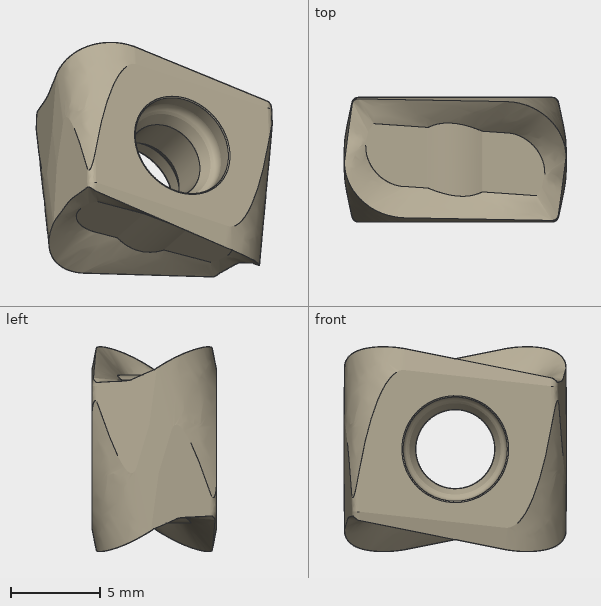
import cadquery as cq
import math


LENGTH = 12.48
THICKNESS = 7.0
HEIGHT = 11.5
HALF_LENGTH = LENGTH / 2
HALF_THICKNESS = THICKNESS / 2
HALF_HEIGHT = HEIGHT / 2
MARGIN = 3.75

FLANK_LEAN = 0.2
EDGE_X = -2.82
EDGE_Z = 4.42
EDGE_SLOPE = 0.022
END_TAPER = 0.028

END_REACH = 6.31
END_SLOPE = 0.14
NOSE_RADIUS = 0.4

CREST_ANGLE = 20.0
CREST_DROOP = 0.00023712
APEX_Z = 4.45
EDGE_FALL = 0.2

FLOOR_Z = 3.87
FLOOR_RADIUS = 2.31
FLOOR_ARC_X = -2.71
FLOOR_ARC_Y = 0.8
FLOOR_SIDE_SLOPE = -0.07
FLOOR_NOSE_X = 4.55
FLOOR_END = (4.87, -1.56)
OVERRUN = 1.25

FLOOR_ARC_ANGLES = (90, 60, 30, 0)
EDGE_ARC_ANGLES = (72, 54, 36)
FLOOR_SIDE_X = (FLOOR_ARC_X, -2.18, -1.66, -1.12)
EDGE_CREST_ANGLES = (36, 24, 12, 0)
NOSE_X = 5.43
END_EDGE = ((-3.25, 3.73), (-2.08, 3.8), (-1.41, 3.87), (-0.52, 4.24), (0.0, APEX_Z))

HUMP_HALF_WIDTH = 1.52
HUMP_RISE = 0.27
HUMP_FOOT_RADIUS = 0.17

RIM = (3.0, 0.0)
SEAT_TOP = (2.92, 0.05)
SEAT_BOTTOM = (2.92, 0.95)
SEAT_ROUND = (2.85, 1.2)
CONE_START = (2.68, 1.4)
CONE_TOP = (2.56, 1.54)
CONE_BOTTOM = (2.28, 2.05)
THROAT = (2.21, 2.2)

EDGE_V = -HALF_THICKNESS - FLANK_LEAN * EDGE_Z
EDGE_TILT = math.atan(EDGE_SLOPE)
END_TILT = math.atan(END_TAPER)
CORNER_RADIUS = ((HALF_LENGTH + EDGE_X) * math.cos(END_TILT) + EDGE_V * math.sin(END_TILT)) / (
    1 + math.sin(EDGE_TILT - END_TILT)
)
ARC_X = EDGE_X - CORNER_RADIUS * math.sin(EDGE_TILT)
ARC_V = EDGE_V + CORNER_RADIUS * math.cos(EDGE_TILT)


def half_turns(shape):
    """The shape and its copies turned half way round X, Y and Z."""
    copies = [shape]
    for axis in ((1, 0, 0), (0, 1, 0), (0, 0, 1)):
        copies.append(shape.rotate((0, 0, 0), axis, 180))
    return copies


def corner_point(angle):
    """Point of the flank profile on the corner arc, angle in degrees from the -Y side."""
    a = math.radians(angle)
    return ARC_X - CORNER_RADIUS * math.sin(a), ARC_V - CORNER_RADIUS * math.cos(a)


def leaning_prism(outline, lean):
    """Tall prism through a mid-height outline, shifting by lean for each unit of rise."""
    reach = HALF_HEIGHT + MARGIN
    rise = lean * reach
    return cq.Solid.extrudeLinear(outline.translate(-rise), [], rise * 2)


def round_nose(outline):
    """Round the corner of a mid-height outline that lies farthest towards +X and -Y."""
    nose = max(outline.Vertices(), key=lambda corner: corner.X - 2 * corner.Y)
    return outline.fillet2D(NOSE_RADIUS, [nose])


def flank_prism():
    """Prism bounded by the -Y flank, the (-X, -Y) corner arc, its end facet and the +X end plane."""
    arc_end_angle = 90 - math.degrees(END_TILT)
    far = HALF_LENGTH + MARGIN
    nose_v = (EDGE_V + EDGE_SLOPE * (END_REACH - EDGE_X)) / (1 - EDGE_SLOPE * END_SLOPE)
    nose = (END_REACH + END_SLOPE * nose_v, nose_v)
    outline = (
        cq.Workplane("XY")
        .moveTo(*nose)
        .lineTo(EDGE_X, EDGE_V)
        .threePointArc(corner_point(arc_end_angle / 2), corner_point(arc_end_angle))
        .lineTo(-HALF_LENGTH - END_TAPER * far, far)
        .lineTo(END_REACH + END_SLOPE * far, far)
        .close()
        .wires()
        .val()
    )
    return leaning_prism(round_nose(outline), cq.Vector(0, FLANK_LEAN, 1))


def end_plane_x(y, z):
    """X of the +X end plane, which leans with the flank of the (-Y, +Z) nose."""
    return END_REACH + END_SLOPE * (y - FLANK_LEAN * z)


def end_prism():
    """Prism rounding the corner between the +X end plane and the -Y clamping face."""
    y = HALF_THICKNESS + MARGIN
    far = -HALF_LENGTH - MARGIN
    near_y = -HALF_THICKNESS
    outline = [(far, near_y), (end_plane_x(near_y, 0), near_y), (end_plane_x(y, 0), y), (far, y)]
    wire = cq.Wire.makePolygon([cq.Vector(px, py, 0) for px, py in outline], close=True)
    return leaning_prism(round_nose(wire), cq.Vector(-END_SLOPE * FLANK_LEAN, 0, 1))


def blank():
    """Insert body without rake bowls and screw hole."""
    body = cq.Workplane("XY").box(LENGTH + MARGIN, THICKNESS, HEIGHT)
    for tool in half_turns(flank_prism()) + half_turns(end_prism()):
        body = body.intersect(cq.Workplane(tool))
    return body


def arc_edge_point(angle):
    """Point of the cutting edge on the (-X, -Y) corner arc."""
    x, v = corner_point(angle)
    z = HALF_HEIGHT - CREST_DROOP * (angle - CREST_ANGLE) ** 2
    return cq.Vector(x, v + FLANK_LEAN * z, z)


def straight_edge_point(x):
    """Point of the straight cutting edge on the -Y flank."""
    start = arc_edge_point(0)
    z = start.z - EDGE_FALL * (x - start.x)
    v = EDGE_V + EDGE_SLOPE * (x - EDGE_X)
    return cq.Vector(x, v + FLANK_LEAN * z, z)


def end_edge_point(y, z):
    """Point of the cutting edge on the +X end plane."""
    return cq.Vector(end_plane_x(y, z), y, z)


def floor_arc_point(angle):
    """Point of the large round of the bowl floor, angle in degrees from the -Y side."""
    a = math.radians(angle)
    x = FLOOR_ARC_X - FLOOR_RADIUS * math.sin(a)
    return cq.Vector(x, FLOOR_ARC_Y - FLOOR_RADIUS * math.cos(a), FLOOR_Z)


def floor_side_point(x):
    """Point of the long -Y side of the bowl floor."""
    start = floor_arc_point(0)
    return cq.Vector(x, start.y + FLOOR_SIDE_SLOPE * (x - start.x), FLOOR_Z)


def half_turn_z(point):
    """The point turned half way round the Z axis."""
    return cq.Vector(-point.x, -point.y, point.z)


def mix(a, b, t):
    """Point at fraction t of the way from a to b, or past b where t is above 1."""
    return a + (b - a) * t


def rake_strips():
    """Matching rows of points along the floor and the cutting edge, for one half of the bowl.

    The strips run from the -X end round the -Y side to the +X end.
    """
    end_edge = [end_edge_point(y, z) for y, z in END_EDGE]
    arc_floor = [floor_arc_point(angle) for angle in FLOOR_ARC_ANGLES]
    arc_edge = [half_turn_z(end_edge[-1])]
    arc_edge += [arc_edge_point(angle) for angle in EDGE_ARC_ANGLES]
    side_floor = [floor_side_point(x) for x in FLOOR_SIDE_X]
    crest_edge = [arc_edge_point(angle) for angle in EDGE_CREST_ANGLES]
    nose_floor = floor_side_point(FLOOR_NOSE_X)
    nose_edge = straight_edge_point(NOSE_X)
    floor_corner = cq.Vector(*FLOOR_END, FLOOR_Z)
    floor_finish = half_turn_z(arc_floor[0])
    spans = len(end_edge) - 1
    end_floor = [mix(floor_corner, floor_finish, i / spans) for i in range(spans + 1)]
    return [
        (arc_floor, arc_edge),
        (side_floor, crest_edge),
        ([side_floor[-1], nose_floor], [crest_edge[-1], nose_edge]),
        ([nose_floor, floor_corner], [nose_edge, end_edge[0]]),
        (end_floor, end_edge),
    ]


def row_edge(points):
    """Line or smooth curve through a row of points."""
    if len(points) == 2:
        return cq.Edge.makeLine(*points)
    return cq.Edge.makeSpline(points)


def bowl_cutter():
    """Ruled rake walls rising from the flat floor past the cutting edge, closed by a lid."""
    lid_z = HALF_HEIGHT + MARGIN
    faces = []
    floor_edges = []
    lid_edges = []
    for floor_row, edge_row in rake_strips():
        outer_row = [mix(a, b, OVERRUN) for a, b in zip(floor_row, edge_row)]
        lid_row = [cq.Vector(p.x, p.y, lid_z) for p in outer_row]
        for turn in (0, 180):
            low, mid, high = [
                row_edge(row).rotate(cq.Vector(), cq.Vector(0, 0, 1), turn)
                for row in (floor_row, outer_row, lid_row)
            ]
            faces.append(cq.Face.makeRuledSurface(low, mid))
            faces.append(cq.Face.makeRuledSurface(mid, high))
            floor_edges.append(low)
            lid_edges.append(high)
    for rim in (floor_edges, lid_edges):
        faces.append(cq.Face.makeFromWires(cq.Wire.combine(rim)[0]))
    return cq.Solid.makeSolid(cq.Shell.makeShell(faces))


def hump():
    """Round-backed ridge along Y across the bowl floor."""
    return (
        cq.Workplane("XZ")
        .moveTo(-HUMP_HALF_WIDTH, FLOOR_Z)
        .threePointArc((0, FLOOR_Z + HUMP_RISE), (HUMP_HALF_WIDTH, FLOOR_Z))
        .close()
        .extrude(HALF_THICKNESS, both=True)
    )


def screw_hole():
    """Through hole with a stepped conical seat on each clamping face."""
    half = [RIM, SEAT_TOP, SEAT_BOTTOM, SEAT_ROUND, CONE_START, CONE_TOP, CONE_BOTTOM, THROAT]
    near = [(radius, depth - HALF_THICKNESS) for radius, depth in half]
    far = [(radius, -y) for radius, y in reversed(near)]
    return (
        cq.Workplane("XY")
        .polyline([(0, -HALF_THICKNESS)] + near[:3])
        .threePointArc(near[3], near[4])
        .polyline(near[5:] + far[:4], includeCurrent=True)
        .threePointArc(far[4], far[5])
        .polyline(far[6:] + [(0, HALF_THICKNESS)], includeCurrent=True)
        .close()
        .revolve(360, (0, 0, 0), (0, 1, 0))
    )


bowl = cq.Workplane(bowl_cutter()).cut(hump())
bowl = bowl.edges("|Y").fillet(HUMP_FOOT_RADIUS)
opposite_bowl = bowl.rotate((0, 0, 0), (1, 0, 0), 180)

result = blank()
for cutter in (bowl, opposite_bowl, screw_hole()):
    result = result.cut(cutter)